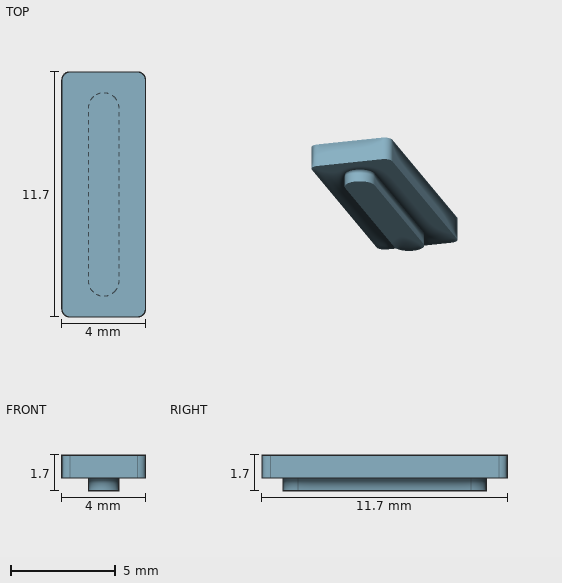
import cadquery as cq

plate_width = 4.0
plate_length = 11.7
plate_thickness = 1.1
corner_radius = 0.4

rib_width = 1.45
end_margin = 1.0
rib_length = plate_length - 2 * end_margin
rib_height = 0.6


def make_plate():
    """Flat plate with rounded vertical corners, underside at Z = 0."""
    plate = cq.Workplane("XY").rect(plate_width, plate_length).extrude(plate_thickness)
    return plate.edges("|Z").fillet(corner_radius)


def make_rib():
    """Rib with semicircular ends along Y, hanging below the plate."""
    return cq.Workplane("XY").slot2D(rib_length, rib_width, angle=90).extrude(-rib_height)


result = make_plate().union(make_rib())